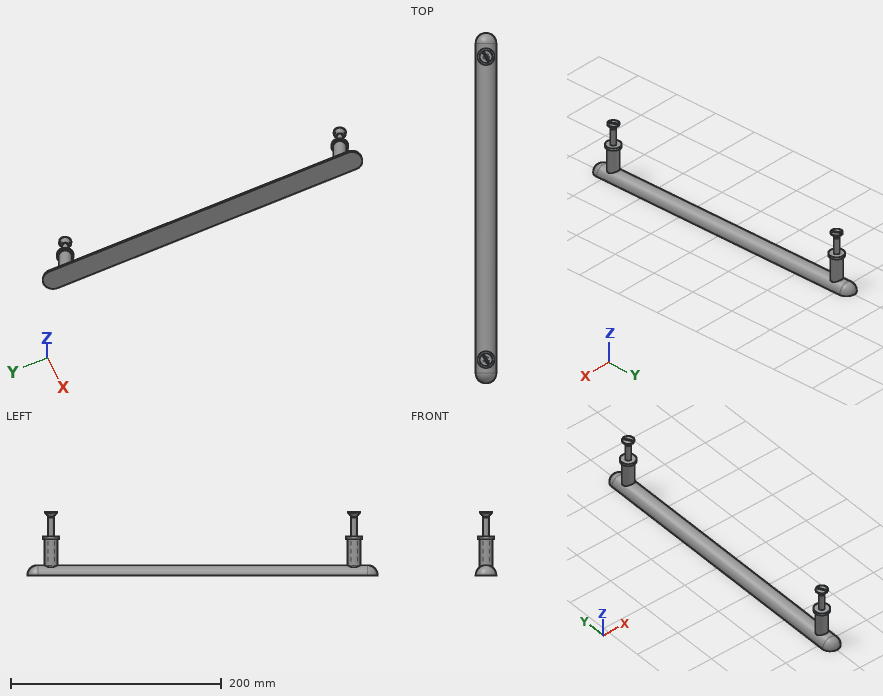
import cadquery as cq

BAR_LENGTH = 333.0
BAR_WIDTH = 20.0
BAR_HEIGHT = BAR_WIDTH / 2
END_RADIUS = BAR_WIDTH / 2
STRAIGHT_LENGTH = BAR_LENGTH - 2 * END_RADIUS

POST_SPACING = 287.7
POST_DIAMETER = 12.5
POST_TOP = 34.5
POST_POSITIONS = [(0, -POST_SPACING / 2), (0, POST_SPACING / 2)]

WASHER_DIAMETER = 16.0
WASHER_THICKNESS = 2.5

SCREW_TOP = 60.5
SHANK_DIAMETER = 6.0
SHANK_TOP = 55.0
NECK_DIAMETER = 4.5
HEAD_DIAMETER = 12.0
HEAD_RIM_HEIGHT = 1.0
HEAD_CONE_HEIGHT = (HEAD_DIAMETER - NECK_DIAMETER) / 2
SLOT_WIDTH = 1.5
SLOT_DEPTH = 1.3
SLOT_ANGLE = -60
SCREW_BOTTOM = BAR_HEIGHT


def bar_end(y_center):
    """Hemisphere closing one end of the half-round bar."""
    return cq.Workplane("XY").sphere(END_RADIUS, angle1=0).translate((0, y_center, 0))


def make_handle():
    """Half-round bar and its two posts, bored for the screws."""
    bar = (
        cq.Workplane("XZ", origin=(0, STRAIGHT_LENGTH / 2, 0))
        .moveTo(-END_RADIUS, 0)
        .lineTo(END_RADIUS, 0)
        .threePointArc((0, BAR_HEIGHT), (-END_RADIUS, 0))
        .close()
        .extrude(STRAIGHT_LENGTH)
    )
    for side in (-1, 1):
        bar = bar.union(bar_end(side * STRAIGHT_LENGTH / 2))

    post_base = BAR_HEIGHT / 2
    posts = (
        cq.Workplane("XY", origin=(0, 0, post_base))
        .pushPoints(POST_POSITIONS)
        .circle(POST_DIAMETER / 2)
        .extrude(POST_TOP - post_base)
    )
    bores = (
        cq.Workplane("XY", origin=(0, 0, SCREW_BOTTOM))
        .pushPoints(POST_POSITIONS)
        .circle(SHANK_DIAMETER / 2)
        .extrude(POST_TOP - SCREW_BOTTOM)
    )
    return bar.union(posts).cut(bores)


def make_washer(x, y):
    """Flat ring fitting closely around the screw shank."""
    return (
        cq.Workplane("XY", origin=(x, y, POST_TOP))
        .circle(WASHER_DIAMETER / 2)
        .extrude(WASHER_THICKNESS)
        .faces(">Z")
        .workplane()
        .hole(SHANK_DIAMETER)
    )


def make_screw(x, y):
    """Screw with a reduced neck under its slotted countersunk head."""
    rim_bottom = SCREW_TOP - HEAD_RIM_HEIGHT
    cone_bottom = rim_bottom - HEAD_CONE_HEIGHT
    screw = (
        cq.Workplane("XZ")
        .moveTo(0, SCREW_BOTTOM)
        .lineTo(SHANK_DIAMETER / 2, SCREW_BOTTOM)
        .lineTo(SHANK_DIAMETER / 2, SHANK_TOP)
        .lineTo(NECK_DIAMETER / 2, SHANK_TOP)
        .lineTo(NECK_DIAMETER / 2, cone_bottom)
        .lineTo(HEAD_DIAMETER / 2, rim_bottom)
        .lineTo(HEAD_DIAMETER / 2, SCREW_TOP)
        .lineTo(0, SCREW_TOP)
        .close()
        .revolve(360, (0, 0), (0, 1))
    )
    slot = (
        cq.Workplane("XY", origin=(0, 0, SCREW_TOP - SLOT_DEPTH))
        .rect(2 * HEAD_DIAMETER, SLOT_WIDTH)
        .extrude(SLOT_DEPTH)
        .rotate((0, 0, 0), (0, 0, 1), SLOT_ANGLE)
    )
    return screw.cut(slot).translate((x, y, 0))


handle = make_handle()
washers = [make_washer(x, y) for x, y in POST_POSITIONS]
screws = [make_screw(x, y) for x, y in POST_POSITIONS]

result = cq.Compound.makeCompound(
    [
        handle.val(),
        *[washer.val() for washer in washers],
        *[screw.val() for screw in screws],
    ]
)